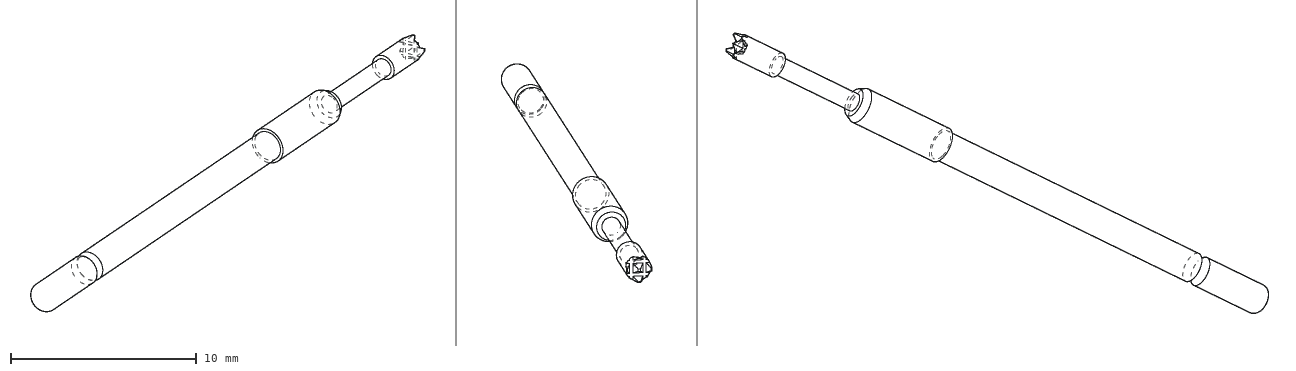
import cadquery as cq

total_length = 36.3

collar_radius = 2.0 / 2
collar_tip_radius = 0.8
barrel_radius = 1.67 / 2
shaft_radius = 1.0 / 2
head_radius = 1.4 / 2

collar_bottom = 22.07
collar_top = 28.05
collar_chamfer_length = 0.45
head_bottom = 33.32

groove_bottom = 4.25
groove_top = 4.8
groove_depth = 0.127
tail_fillet = 0.4

slot_offset = 0.35
slot_top_width = 0.58
slot_floor_width = 0.18
slot_depth = 0.4


def turned_body():
    """Solid of revolution holding every round section of the probe."""
    groove_middle = (groove_bottom + groove_top) / 2
    groove_radius = barrel_radius - groove_depth
    half_width = (groove_top - groove_bottom) / 2
    arc_radius = (half_width**2 + groove_depth**2) / (2 * groove_depth)
    tail_flat_radius = barrel_radius - tail_fillet

    outline = (
        cq.Workplane("XY")
        .lineTo(tail_flat_radius, 0)
        .radiusArc((barrel_radius, tail_fillet), -tail_fillet)
        .lineTo(barrel_radius, groove_bottom)
        .radiusArc((groove_radius, groove_middle), arc_radius)
        .radiusArc((barrel_radius, groove_top), arc_radius)
        .lineTo(barrel_radius, collar_bottom)
        .lineTo(collar_radius, collar_bottom)
        .lineTo(collar_radius, collar_top - collar_chamfer_length)
        .lineTo(collar_tip_radius, collar_top)
        .lineTo(shaft_radius, collar_top)
        .lineTo(shaft_radius, head_bottom)
        .lineTo(head_radius, head_bottom)
        .lineTo(head_radius, total_length)
        .lineTo(0, total_length)
        .close()
    )
    return outline.revolve(360, (0, 0, 0), (0, 1, 0))


def crown_slot(offset, angle):
    """Slot with sloping flanks across the head tip, off centre by offset, turned about Y."""
    slot_top_half = slot_top_width / 2
    slot_floor_half = slot_floor_width / 2
    slot_floor = total_length - slot_depth
    return (
        cq.Workplane("XY")
        .moveTo(offset - slot_top_half, total_length)
        .lineTo(offset - slot_floor_half, slot_floor)
        .lineTo(offset + slot_floor_half, slot_floor)
        .lineTo(offset + slot_top_half, total_length)
        .close()
        .extrude(2 * head_radius, both=True)
        .rotate((0, 0, 0), (0, 1, 0), angle)
    )


result = turned_body()
for slot_angle in (0, 90):
    for slot_side in (-slot_offset, slot_offset):
        result = result.cut(crown_slot(slot_side, slot_angle))